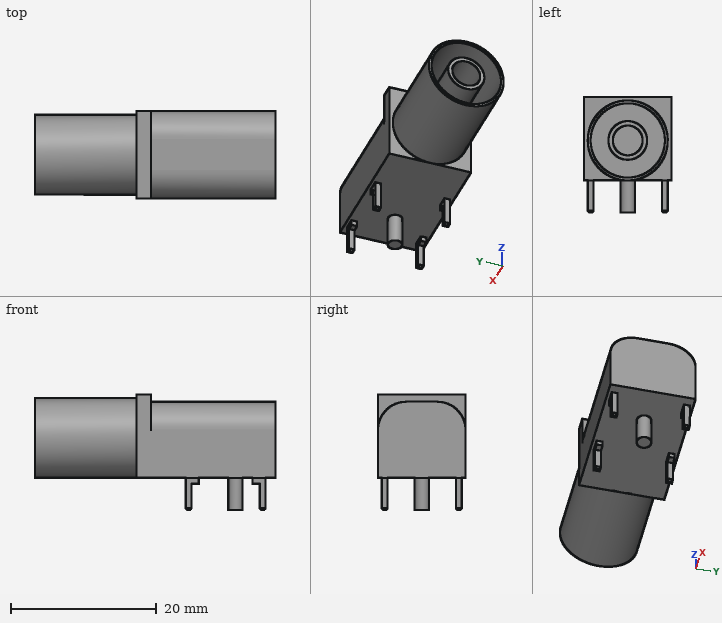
import cadquery as cq

total_length = 33.0
housing_width = 12.0
flange_height = 11.5

barrel_length = 13.93
barrel_diameter = 11.0
barrel_bore = 10.2
sleeve_diameter = 5.3
sleeve_bore = 4.1
axis_height = barrel_diameter / 2

flange_thickness = 2.0
block_height = 10.45
block_corner_radius = 3.85
block_start = barrel_length + flange_thickness
block_length = total_length - block_start

drop = 4.42
post_diameter = 2.0
post_x = total_length - 5.5
leg_thickness = 0.82
leg_spacing = 10.15
leg_foot_length = 1.8
leg_foot_height = 0.8
leg_tip_chamfer = 0.3
rear_leg_x = total_length - 1.35 - leg_thickness / 2
front_leg_x = rear_leg_x - leg_spacing


def make_tube(outer_diameter, bore_diameter):
    """Tube along the barrel axis, from the open end to the flange."""
    return (
        cq.Workplane("YZ")
        .center(0, axis_height)
        .circle(outer_diameter / 2)
        .circle(bore_diameter / 2)
        .extrude(barrel_length)
    )


def make_housing():
    """Square flange carrying the barrel, inner sleeve and rounded rear block."""
    flange = cq.Workplane("XY").box(
        flange_thickness, housing_width, flange_height, centered=(False, True, False)
    ).translate((barrel_length, 0, 0))
    block = (
        cq.Workplane("XY")
        .box(block_length, housing_width, block_height, centered=(False, True, False))
        .edges("|X and >Z")
        .fillet(block_corner_radius)
        .translate((block_start, 0, 0))
    )
    barrel = make_tube(barrel_diameter, barrel_bore)
    sleeve = make_tube(sleeve_diameter, sleeve_bore)
    return flange.union(block).union(barrel).union(sleeve)


def make_post():
    """Round post standing on the underside of the rear block."""
    return cq.Workplane("XY").center(post_x, 0).circle(post_diameter / 2).extrude(-drop)


def make_leg(x, y, foot_direction):
    """Square leg with a pointed tip and a foot running along X against the block."""
    shank = (
        cq.Workplane("XY")
        .rect(leg_thickness, leg_thickness)
        .extrude(-drop)
        .faces("<Z")
        .chamfer(leg_tip_chamfer)
    )
    foot_centre = foot_direction * (leg_foot_length - leg_thickness) / 2
    foot = (
        cq.Workplane("XY")
        .center(foot_centre, 0)
        .rect(leg_foot_length, leg_thickness)
        .extrude(-leg_foot_height)
    )
    return shank.union(foot).translate((x, y, 0))


housing = make_housing()
post = make_post()

legs = []
for x, foot_direction in ((front_leg_x, 1), (rear_leg_x, -1)):
    for side in (-1, 1):
        legs.append(make_leg(x, side * leg_spacing / 2, foot_direction).val())

result = cq.Compound.makeCompound([housing.val(), post.val(), *legs])